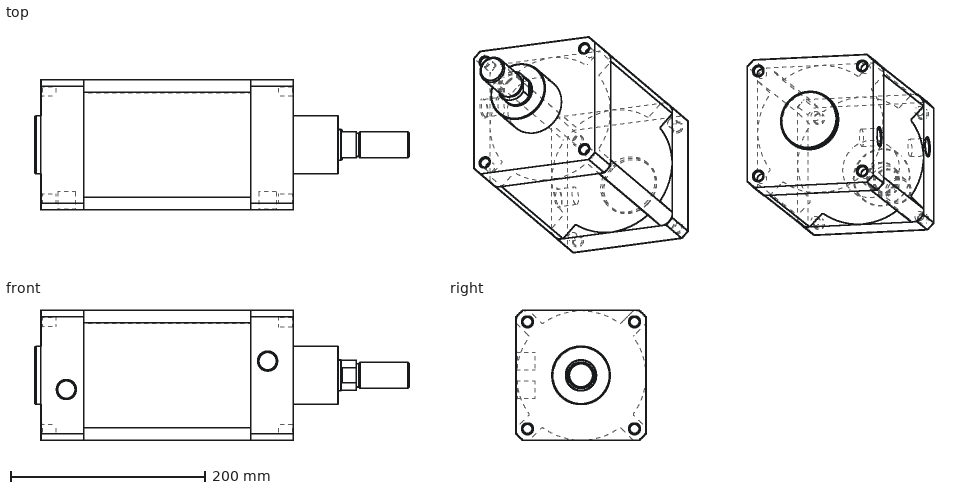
import cadquery as cq
import math

total_length = 385.0
side = 134.0
half_side = side / 2

cap_length = 44.0
cap_chamfer = 7.0
boss_diameter = 60.0
rear_boss_length = 6.0
front_boss_length = 46.2
rear_boss_chamfer = 1.0
front_boss_chamfer = 0.8

screw_offset = 55.0
screw_diameter = 9.5
screw_chamfer = 1.0
screw_depth = 15.5

port_diameter = 18.0
port_chamfer = 1.0
port_depth = 19.2
port_height = 14.5
port_from_outer_face = 26.0
port_from_inner_face = 17.5

barrel_length = 172.0
barrel_radius = 66.5
ridge_half_width = 8.0
lobe_radius = half_side - screw_offset
lobe_edge = 54.0
lobe_root_fillet = 1.5

collar_diameter = 32.0
collar_chamfer = 1.0
flange_length = 4.0
wrench_length = 14.5
wrench_diameter = 31.0
wrench_width = 27.0
neck_diameter = 24.3
neck_length = 2.7
thread_diameter = 27.0
thread_end_chamfer = 1.5

rear_cap_start = rear_boss_length
barrel_start = rear_cap_start + cap_length
front_cap_start = barrel_start + barrel_length
front_boss_start = front_cap_start + cap_length
rod_start = front_boss_start + front_boss_length
wrench_start = rod_start + flange_length
neck_start = wrench_start + wrench_length
thread_start = neck_start + neck_length
thread_length = total_length - thread_start


def section_at(x):
    """Workplane facing +X, with local axes along Y and Z."""
    return cq.Workplane("YZ", origin=(x, 0, 0))


def rod_section(x, diameter, length):
    return section_at(x).circle(diameter / 2).extrude(length)


def drill(start, direction, diameter, chamfer, depth):
    """Cutter for a blind hole with a chamfered mouth."""
    bore = cq.Solid.makeCylinder(diameter / 2, depth, start, direction)
    mouth = cq.Solid.makeCone(diameter / 2 + chamfer, diameter / 2, chamfer, start, direction)
    return cq.Workplane(bore).union(cq.Workplane(mouth))


def cap_block(x_start):
    return section_at(x_start).rect(side, side).extrude(cap_length).edges("|X").chamfer(cap_chamfer)


def cut_screw_holes(cap, x_face, x_direction):
    for y in (-screw_offset, screw_offset):
        for z in (-screw_offset, screw_offset):
            start = cq.Vector(x_face, y, z)
            direction = cq.Vector(x_direction, 0, 0)
            cap = cap.cut(drill(start, direction, screw_diameter, screw_chamfer, screw_depth))
    return cap


def cut_port(cap, x, z):
    start = cq.Vector(x, -half_side, z)
    return cap.cut(drill(start, cq.Vector(0, 1, 0), port_diameter, port_chamfer, port_depth))


def make_rear_cap():
    boss = rod_section(0, boss_diameter, rear_boss_length).faces("<X").chamfer(rear_boss_chamfer)
    cap = cut_screw_holes(cap_block(rear_cap_start).union(boss), rear_cap_start, 1)
    return cut_port(cap, rear_cap_start + port_from_outer_face, -port_height)


def make_front_cap():
    boss = rod_section(front_boss_start, boss_diameter, front_boss_length)
    boss = boss.faces(">X").chamfer(front_boss_chamfer)
    cap = cut_screw_holes(cap_block(front_cap_start).union(boss), front_boss_start, -1)
    return cut_port(cap, front_cap_start + port_from_inner_face, port_height)


def make_lobe():
    """Rib along the +Y +Z corner: 45 degree sides and a rounded outer end."""
    arc_reach = screw_offset + lobe_radius * math.sqrt(0.5)
    side_step = half_side - lobe_edge
    return (
        section_at(barrel_start)
        .moveTo(side_step, 0)
        .lineTo(half_side, lobe_edge)
        .lineTo(half_side, screw_offset)
        .threePointArc((arc_reach, arc_reach), (screw_offset, half_side))
        .lineTo(lobe_edge, half_side)
        .lineTo(0, side_step)
        .close()
        .extrude(barrel_length)
    )


def make_ridge():
    """Low roof-shaped ridge along the top of the barrel."""
    ridge_foot = math.sqrt(barrel_radius**2 - ridge_half_width**2)
    return (
        section_at(barrel_start)
        .moveTo(0, 0)
        .lineTo(ridge_half_width, ridge_foot)
        .lineTo(0, half_side)
        .lineTo(-ridge_half_width, ridge_foot)
        .close()
        .extrude(barrel_length)
    )


def fillet_lobe_roots(barrel):
    """Round the inner corners where the lobe sides meet the round barrel."""
    side_step = half_side - lobe_edge
    near = (math.sqrt(2 * barrel_radius**2 - side_step**2) - side_step) / 2
    far = near + side_step
    x_middle = barrel_start + barrel_length / 2
    for y, z in ((near, far), (far, near)):
        for y_sign in (-1, 1):
            for z_sign in (-1, 1):
                corner = (x_middle, y_sign * y, z_sign * z)
                barrel = barrel.edges(cq.NearestToPointSelector(corner)).fillet(lobe_root_fillet)
    return barrel


def make_barrel():
    barrel = rod_section(barrel_start, 2 * barrel_radius, barrel_length)
    rib_pair = make_lobe().union(make_ridge())
    for quarter in range(4):
        barrel = barrel.union(rib_pair.rotate((0, 0, 0), (1, 0, 0), 90 * quarter))
    return fillet_lobe_roots(barrel)


def make_piston_rod():
    flange = rod_section(rod_start, collar_diameter, flange_length).faces(">X").chamfer(collar_chamfer)
    flats_start = wrench_start - collar_chamfer
    flats_length = wrench_length + collar_chamfer
    flats = rod_section(flats_start, wrench_diameter, flats_length).intersect(
        section_at(flats_start).rect(wrench_width, wrench_diameter).extrude(flats_length)
    )
    neck = rod_section(neck_start, neck_diameter, neck_length)
    thread = rod_section(thread_start, thread_diameter, thread_length)
    thread = thread.faces("<X").chamfer((thread_diameter - neck_diameter) / 2)
    thread = thread.faces(">X").chamfer(thread_end_chamfer)
    return flange.union(flats).union(neck).union(thread)


rear_cap = make_rear_cap()
barrel = make_barrel()
front_cap = make_front_cap()
piston_rod = make_piston_rod()

result = cq.Compound.makeCompound([rear_cap.val(), barrel.val(), front_cap.val(), piston_rod.val()])